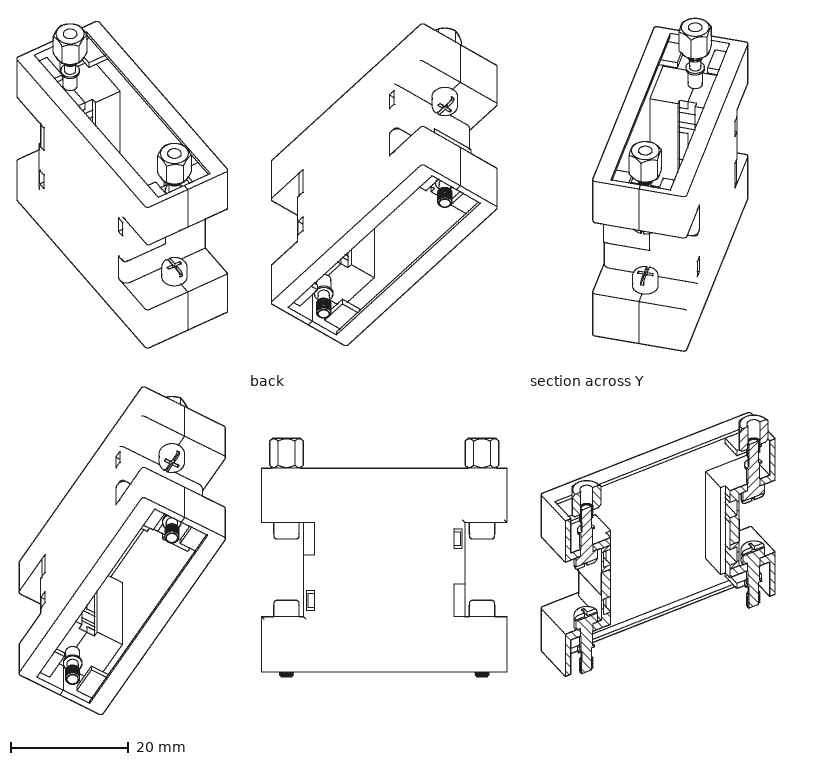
import cadquery as cq
import math

LENGTH = 41.65
DEPTH = 16.5
HEIGHT = 34.58
WAIST_HALF_WIDTH = 13.7
TOP_FLANGE_HEIGHT = 9.25
BOTTOM_FLANGE_HEIGHT = 9.4
EDGE_RADIUS = 0.55

HALF_LENGTH = LENGTH / 2
HALF_DEPTH = DEPTH / 2
BOTTOM_SEAT_Z = BOTTOM_FLANGE_HEIGHT
TOP_SEAT_Z = HEIGHT - TOP_FLANGE_HEIGHT

OPENING_HALF_LENGTH = 19.7
OPENING_HALF_WIDTH = 5.2
CAVITY_HALF_WIDTH = 6.45
LIP_THICKNESS = 0.7
FLOOR_DEPTH = 7.62
PASSAGE_HALF_LENGTH = 10.9
SHELF_INNER_X = 14.85
SHELF_INNER_Y = 2.65
SHELF_DEPTH = 1.95
SHELF_THICKNESS = 1.15

TONGUE_INNER_X = 11.85
TONGUE_HEIGHT = 5.5
TONGUE_TIP_RADIUS = 1.2
SEAM_NOTCH_HALF_WIDTH = 1.5
POCKET_OUTER_X = 13.15
POCKET_OFFSET = 1.05
POCKET_HEIGHT = 3.35
CATCH_SIZE = 1.12
CATCH_HEIGHT = 2.35
CATCH_END_Y = 4.6

LOWER_TONGUE_TOP = BOTTOM_SEAT_Z + TONGUE_HEIGHT
UPPER_TONGUE_BOTTOM = TOP_SEAT_Z - TONGUE_HEIGHT

SCREW_HALF_SPACING = 16.6
HEAD_DIAMETER = 4.35
HEAD_HEIGHT = 2.8
HEAD_ROUNDING = 0.6
SLOT_WIDTH = 0.5
SLOT_DEPTH = 0.85
CROSS_LENGTH = 2.6
SCREW_LENGTH = 10.25
SHANK_RADIUS = 1.2
COLLAR_RADIUS = 1.6
COLLAR_START = 5.0
COLLAR_THICKNESS = 0.37
NECK_RADIUS = 0.95
THREAD_PITCH = 0.35
THREAD_RIDGES = 8
THREAD_TIP = 0.15

HEX_ACROSS_FLATS = 4.95
HEX_HEIGHT = 5.1
HEX_CHAMFER = 0.5
HEX_BORE_DIAMETER = 2.3


def block(x, y, z):
    """Box spanning the given (low, high) pairs."""
    size = [high - low for low, high in (x, y, z)]
    return cq.Workplane("XY").box(*size, centered=False).translate((x[0], y[0], z[0]))


def outer_shell():
    """Front half of the I-shaped envelope, notched for the tongues of the other half."""
    outline = [
        (-HALF_LENGTH, 0),
        (HALF_LENGTH, 0),
        (HALF_LENGTH, BOTTOM_SEAT_Z),
        (WAIST_HALF_WIDTH, BOTTOM_SEAT_Z),
        (WAIST_HALF_WIDTH, TOP_SEAT_Z),
        (HALF_LENGTH, TOP_SEAT_Z),
        (HALF_LENGTH, HEIGHT),
        (-HALF_LENGTH, HEIGHT),
        (-HALF_LENGTH, TOP_SEAT_Z),
        (-WAIST_HALF_WIDTH, TOP_SEAT_Z),
        (-WAIST_HALF_WIDTH, BOTTOM_SEAT_Z),
        (-HALF_LENGTH, BOTTOM_SEAT_Z),
    ]
    shell = cq.Workplane("XZ").polyline(outline).close().extrude(HALF_DEPTH)
    front = (-HALF_DEPTH, 0)
    left = (-WAIST_HALF_WIDTH, -TONGUE_INNER_X)
    right = (TONGUE_INNER_X, WAIST_HALF_WIDTH)
    shell = shell.cut(block(left, front, (UPPER_TONGUE_BOTTOM, TOP_SEAT_Z)))
    shell = shell.cut(block(right, front, (BOTTOM_SEAT_Z, LOWER_TONGUE_TOP)))
    return round_front_edges(shell)


def round_front_edges(shell):
    """Round the front edges of the flange ends and of the two corners that carry no notch."""
    flange_end_x = (HALF_LENGTH + WAIST_HALF_WIDTH) / 2
    bottom_mid_z = BOTTOM_SEAT_Z / 2
    top_mid_z = (TOP_SEAT_Z + HEIGHT) / 2
    edge_points = [
        (-HALF_LENGTH, bottom_mid_z),
        (HALF_LENGTH, bottom_mid_z),
        (-HALF_LENGTH, top_mid_z),
        (HALF_LENGTH, top_mid_z),
        (-flange_end_x, BOTTOM_SEAT_Z),
        (-WAIST_HALF_WIDTH, (BOTTOM_SEAT_Z + UPPER_TONGUE_BOTTOM) / 2),
        (flange_end_x, TOP_SEAT_Z),
        (WAIST_HALF_WIDTH, (LOWER_TONGUE_TOP + TOP_SEAT_Z) / 2),
    ]
    edges = cq.Workplane("XY")
    for x, z in edge_points:
        nearest = cq.selectors.NearestToPointSelector((x, -HALF_DEPTH, z))
        edges = edges.add(shell.edges(nearest).vals())
    return shell.newObject(edges.vals()).fillet(EDGE_RADIUS)


def hollow_interior(shell):
    """Cut the passage, the widened seam notch and the recess behind each opening."""
    middle = (LIP_THICKNESS, HEIGHT - LIP_THICKNESS)
    passage_x = (-PASSAGE_HALF_LENGTH, PASSAGE_HALF_LENGTH)
    shell = shell.cut(block(passage_x, (-CAVITY_HALF_WIDTH, 0), middle))
    notch_x = (-TONGUE_INNER_X, TONGUE_INNER_X)
    shell = shell.cut(block(notch_x, (-SEAM_NOTCH_HALF_WIDTH, 0), middle))
    opening_x = (-OPENING_HALF_LENGTH, OPENING_HALF_LENGTH)
    shell = shell.cut(block(opening_x, (-OPENING_HALF_WIDTH, 0), (0, LIP_THICKNESS)))
    shell = shell.cut(block(opening_x, (-OPENING_HALF_WIDTH, 0), (HEIGHT - LIP_THICKNESS, HEIGHT)))
    for recess_z in [(LIP_THICKNESS, FLOOR_DEPTH), (HEIGHT - FLOOR_DEPTH, HEIGHT - LIP_THICKNESS)]:
        shell = shell.cut(block(opening_x, (-CAVITY_HALF_WIDTH, 0), recess_z))
    return shell


def add_corner_shelves(shell):
    """Shelves that support the connector flange in the corners of each opening."""
    shelf_y = (-CAVITY_HALF_WIDTH, -SHELF_INNER_Y)
    shelf_end = SHELF_DEPTH + SHELF_THICKNESS
    for shelf_z in [(SHELF_DEPTH, shelf_end), (HEIGHT - shelf_end, HEIGHT - SHELF_DEPTH)]:
        for shelf_x in [(-OPENING_HALF_LENGTH, -SHELF_INNER_X), (SHELF_INNER_X, OPENING_HALF_LENGTH)]:
            shell = shell.union(block(shelf_x, shelf_y, shelf_z))
    return shell


def tongue(side, bottom_z):
    """Tongue on one side (-1 left, 1 right), flush with the far face and rounded at its tip."""
    x = sorted((side * TONGUE_INNER_X, side * WAIST_HALF_WIDTH))
    body = block(x, (0, HALF_DEPTH), (bottom_z, bottom_z + TONGUE_HEIGHT))
    outer_tip = cq.selectors.NearestToPointSelector(
        (side * WAIST_HALF_WIDTH, HALF_DEPTH, bottom_z + TONGUE_HEIGHT / 2)
    )
    return body.edges(outer_tip).fillet(TONGUE_TIP_RADIUS)


def catch_pocket(side, tongue_center_z):
    """Pocket from the front face to the hook of the tongue."""
    x = sorted((side * TONGUE_INNER_X, side * POCKET_OUTER_X))
    z = (tongue_center_z - POCKET_HEIGHT / 2, tongue_center_z + POCKET_HEIGHT / 2)
    return block(x, (-HALF_DEPTH, CATCH_END_Y), z)


def catch(side, tongue_center_z):
    """Ramped catch on the inner wall of the notch; it holds the other half's tongue."""
    root_x = side * TONGUE_INNER_X
    ramp = [
        (root_x, -CATCH_END_Y),
        (root_x + side * CATCH_SIZE, -CATCH_END_Y),
        (root_x, -CATCH_END_Y + CATCH_SIZE),
    ]
    bottom_z = tongue_center_z - CATCH_HEIGHT / 2
    return cq.Workplane("XY").workplane(offset=bottom_z).polyline(ramp).close().extrude(CATCH_HEIGHT)


def make_housing_half():
    half = add_corner_shelves(hollow_interior(outer_shell()))
    lower_pocket_z = BOTTOM_SEAT_Z + POCKET_OFFSET + POCKET_HEIGHT / 2
    upper_pocket_z = TOP_SEAT_Z - POCKET_OFFSET - POCKET_HEIGHT / 2
    half = half.union(tongue(-1, BOTTOM_SEAT_Z)).union(tongue(1, UPPER_TONGUE_BOTTOM))
    half = half.cut(catch_pocket(-1, lower_pocket_z)).cut(catch_pocket(1, upper_pocket_z))
    half = half.union(catch(-1, upper_pocket_z)).union(catch(1, lower_pocket_z))
    for x in (-SCREW_HALF_SPACING, SCREW_HALF_SPACING):
        hole = cq.Workplane("XY").center(x, 0).circle(SHANK_RADIUS).extrude(HEIGHT)
        half = half.cut(hole)
    return half


def make_screw():
    """Captive screw pointing up, with its seat on Z = 0 and its head below."""
    head_radius = HEAD_DIAMETER / 2
    arc_offset = HEAD_ROUNDING * (1 - math.sqrt(0.5))
    collar_end = COLLAR_START + COLLAR_THICKNESS
    thread_end = SCREW_LENGTH - THREAD_TIP
    thread_start = thread_end - THREAD_RIDGES * THREAD_PITCH
    profile = (
        cq.Workplane("XZ")
        .moveTo(0, -HEAD_HEIGHT)
        .lineTo(head_radius - HEAD_ROUNDING, -HEAD_HEIGHT)
        .threePointArc(
            (head_radius - arc_offset, -HEAD_HEIGHT + arc_offset),
            (head_radius, -HEAD_HEIGHT + HEAD_ROUNDING),
        )
        .lineTo(head_radius, 0)
        .lineTo(SHANK_RADIUS, 0)
        .lineTo(SHANK_RADIUS, COLLAR_START)
        .lineTo(COLLAR_RADIUS, COLLAR_START)
        .lineTo(COLLAR_RADIUS, collar_end)
        .lineTo(NECK_RADIUS, collar_end)
        .lineTo(NECK_RADIUS, thread_start)
    )
    for ridge in range(THREAD_RIDGES):
        root_z = thread_start + ridge * THREAD_PITCH
        profile = profile.lineTo(SHANK_RADIUS, root_z + THREAD_PITCH / 2)
        profile = profile.lineTo(NECK_RADIUS, root_z + THREAD_PITCH)
    profile = profile.lineTo(NECK_RADIUS, SCREW_LENGTH).lineTo(0, SCREW_LENGTH).close()
    screw = profile.revolve(360, (0, 0, 0), (0, 1, 0))
    slot_z = (-HEAD_HEIGHT, -HEAD_HEIGHT + SLOT_DEPTH)
    slot_half = SLOT_WIDTH / 2
    cross_half = CROSS_LENGTH / 2
    screw = screw.cut(block((-head_radius, head_radius), (-slot_half, slot_half), slot_z))
    return screw.cut(block((-slot_half, slot_half), (-cross_half, cross_half), slot_z))


def make_spacer():
    """Hexagonal spacer standing on Z = 0, with a bore and a wider socket for the screw tip."""
    corner_diameter = HEX_ACROSS_FLATS / math.cos(math.pi / 6)
    spacer = cq.Workplane("XY").polygon(6, corner_diameter).extrude(HEX_HEIGHT)
    envelope = cq.Workplane("XY").circle(corner_diameter / 2).extrude(HEX_HEIGHT)
    envelope = envelope.faces("<Z or >Z").chamfer(HEX_CHAMFER)
    spacer = spacer.intersect(envelope)
    spacer = spacer.faces(">Z").workplane().hole(HEX_BORE_DIAMETER)
    socket_depth = TOP_SEAT_Z + SCREW_LENGTH - HEIGHT
    socket = cq.Workplane("XY").circle(SHANK_RADIUS).extrude(socket_depth)
    return spacer.cut(socket)


front_half = make_housing_half()
back_half = front_half.rotate((0, 0, 0), (0, 0, 1), 180)

screws = []
spacers = []
for screw_x in (-SCREW_HALF_SPACING, SCREW_HALF_SPACING):
    upper_screw = make_screw().translate((screw_x, 0, TOP_SEAT_Z))
    lower_screw = make_screw().rotate((0, 0, 0), (1, 0, 0), 180).translate((screw_x, 0, BOTTOM_SEAT_Z))
    spacer = make_spacer().translate((screw_x, 0, HEIGHT))
    screws += upper_screw.solids().vals() + lower_screw.solids().vals()
    spacers += spacer.solids().vals()

halves = front_half.solids().vals() + back_half.solids().vals()
result = cq.Compound.makeCompound([*halves, *screws, *spacers])